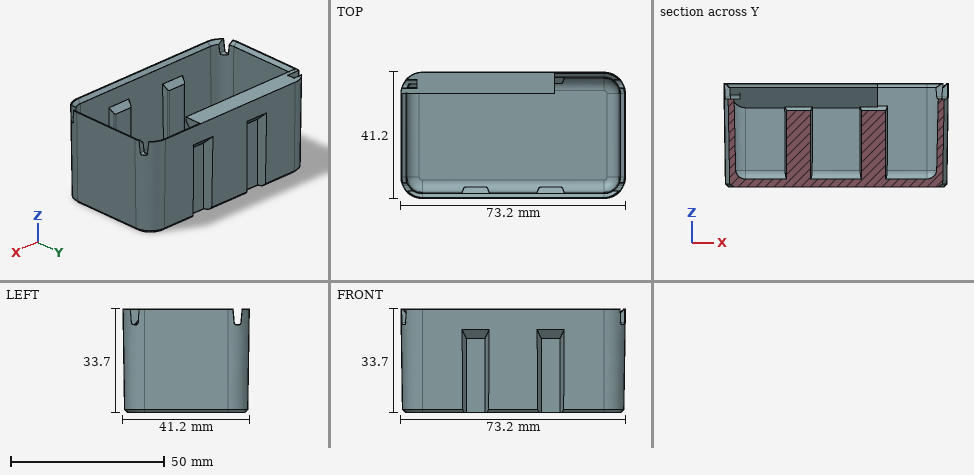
import cadquery as cq
import math

length = 73.2
width = 41.2
height = 33.7
corner_radius = 7.0
draft_angle = 0.86
bottom_chamfer = 1.0

wall = 1.6
floor_thickness = 1.5
floor_fillet = 3.95
rim_chamfer = 1.25
rim_angle = 45.0

recess_center_x = 12.2
recess_mouth_width = 8.9
recess_floor_width = 6.1
recess_depth = 3.0
recess_top = 27.1

rib_mouth_width = 10.5
rib_end_width = 7.5
rib_depth = 3.7
rib_top = 28.1
rib_corner_radius = 0.6

shelf_length = 50.15
shelf_depth = 6.9
shelf_tip_thickness = 1.25
shelf_underside_angle = 52.0

notch_center_y = 16.75
notch_width = 2.9
notch_depth = 5.05
notch_reach = 5.3
notch_side_angle = 5.0
notch_floor_radius = 0.7

half_length = length / 2
half_width = width / 2


def tapered_block(inset, top, depth, taper):
    """Round-cornered block hung from z = top, inset from the outer rim and narrowing downward."""
    return (
        cq.Workplane("XY", origin=(0, 0, top))
        .sketch()
        .rect(length - 2 * inset, width - 2 * inset)
        .vertices()
        .fillet(corner_radius - inset)
        .finalize()
        .extrude(-depth, taper=taper)
    )


def outer_block():
    return tapered_block(0, height, height, draft_angle).faces("<Z").chamfer(bottom_chamfer)


def cavity():
    """Pocket with a rounded floor edge, flared outward just below the rim."""
    pocket = tapered_block(wall, height, height - floor_thickness, draft_angle)
    pocket = pocket.faces("<Z").edges().fillet(floor_fillet)
    rim = tapered_block(wall - rim_chamfer, height, rim_chamfer, rim_angle)
    return pocket.union(rim)


def sloped_column(mouth_width, end_width, depth, top):
    """Column standing at the front wall that tapers inward in plan, with a 45 degree sloping top."""
    column = (
        cq.Workplane("XY")
        .moveTo(-mouth_width / 2, -half_width)
        .lineTo(mouth_width / 2, -half_width)
        .lineTo(end_width / 2, -half_width + depth)
        .lineTo(-end_width / 2, -half_width + depth)
        .close()
        .extrude(height)
    )
    side_profile = (
        cq.Workplane("YZ")
        .moveTo(-half_width, 0)
        .lineTo(-half_width, top)
        .lineTo(-half_width + depth, top - depth)
        .lineTo(-half_width + depth, 0)
        .close()
        .extrude(mouth_width / 2, both=True)
    )
    return column.intersect(side_profile)


def on_both_long_walls(column):
    """Copies of a front-wall column at both places along X, mirrored onto the back wall."""
    columns = cq.Workplane("XY")
    for x in (-recess_center_x, recess_center_x):
        front = column.translate((x, 0, 0))
        columns = columns.add(front).add(front.mirror("XZ"))
    return columns.combine()


def recesses():
    recess = sloped_column(recess_mouth_width, recess_floor_width, recess_depth, recess_top)
    return on_both_long_walls(recess)


def ribs():
    rib = sloped_column(rib_mouth_width, rib_end_width, rib_depth, rib_top)
    return on_both_long_walls(rib.edges("|Z and >Y").fillet(rib_corner_radius))


def shelf():
    """Bar along the back rim with a short upright tip and a sloping underside."""
    tip_y = half_width - shelf_depth
    drop = shelf_tip_thickness + shelf_depth * math.tan(math.radians(shelf_underside_angle))
    return (
        cq.Workplane("YZ", origin=(-half_length, 0, 0))
        .moveTo(tip_y, height)
        .lineTo(half_width, height)
        .lineTo(half_width, height - drop)
        .lineTo(tip_y, height - shelf_tip_thickness)
        .close()
        .extrude(shelf_length)
    )


def notches():
    """Slots running along X that narrow downward to a rounded floor."""
    floor_width = notch_width - 2 * notch_depth * math.tan(math.radians(notch_side_angle))
    notch = (
        cq.Workplane("YZ")
        .moveTo(-notch_width / 2, height)
        .lineTo(notch_width / 2, height)
        .lineTo(floor_width / 2, height - notch_depth)
        .lineTo(-floor_width / 2, height - notch_depth)
        .close()
        .extrude(notch_reach)
        .edges("|X and <Z")
        .fillet(notch_floor_radius)
    )
    cutters = cq.Workplane("XY")
    for x in (-half_length, half_length - notch_reach):
        for y in (-notch_center_y, notch_center_y):
            cutters = cutters.add(notch.translate((x, y, 0)))
    return cutters.combine()


outer = outer_block()
additions = shelf().union(ribs()).intersect(outer)
result = outer.cut(cavity()).union(additions).cut(recesses()).cut(notches())